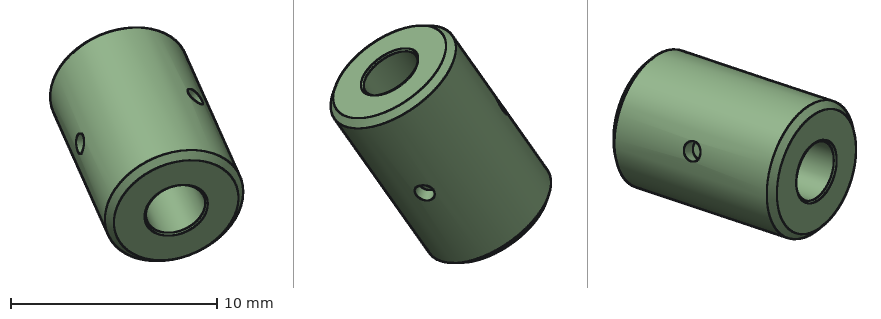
import cadquery as cq

length = 10.0
outer_diameter = 7.0
bore_diameter = 3.0
outer_chamfer = 0.35
bore_chamfer = 0.1

hole_diameter = 1.0
hole_depth = 0.75
hole_count = 3
first_hole_angle = 45.0
hole_spacing = 360.0 / hole_count


def make_cylinder(diameter):
    """Full-length cylinder along X, centred on the origin."""
    end_plane = cq.Workplane("YZ").workplane(offset=-length / 2)
    return end_plane.circle(diameter / 2).extrude(length)


def make_sleeve():
    """Bored cylinder with chamfers on the outer and bore edges of both ends."""
    body = make_cylinder(outer_diameter).faces("<X or >X").chamfer(outer_chamfer)
    body = body.cut(make_cylinder(bore_diameter))
    bore_edges = cq.selectors.RadiusNthSelector(0)
    return body.faces("<X or >X").edges(bore_edges).chamfer(bore_chamfer)


def radial_hole(angle):
    """Cutter for one flat-bottomed hole, running outwards from its floor past the outer surface."""
    floor_radius = outer_diameter / 2 - hole_depth
    floor_plane = cq.Plane(origin=(0, floor_radius, 0), xDir=(1, 0, 0), normal=(0, 1, 0))
    cutter = cq.Workplane(floor_plane).circle(hole_diameter / 2).extrude(2 * hole_depth)
    return cutter.rotate((0, 0, 0), (1, 0, 0), angle)


result = make_sleeve()
for index in range(hole_count):
    result = result.cut(radial_hole(first_hole_angle + index * hole_spacing))